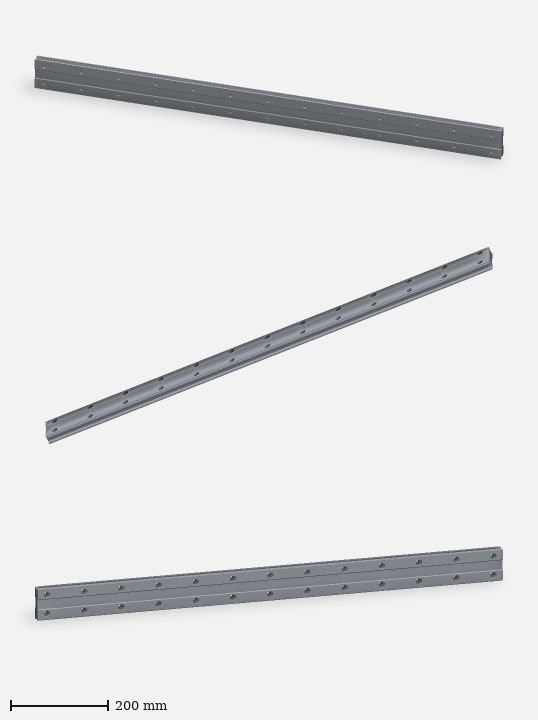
import cadquery as cq
import math

length = 1000.0
thickness = 19.0
height = 69.0
front_face = -thickness / 2
back_face = thickness / 2
crest_height = height / 2

web_thickness = 16.0
web_height = 20.0
recess_depth = (thickness - web_thickness) / 2

groove_depth = 4.0
ledge_depth = 2.0
groove_floor = crest_height - groove_depth
ledge_level = crest_height - ledge_depth
lip_width = 3.5
lip_wall_angle = math.radians(60)
lip_fillet = 2.0
ledge_start = 2.5
ridge_centre = 6.0
ridge_top_width = 2.0
ridge_wall_angle = math.radians(68.5)

hole_diameter = 7.0
counterbore_diameter = 13.0
counterbore_depth = 7.0
hole_pitch = 80.0
holes_per_row = 13
hole_row_spacing = 40.0


def make_half_bar():
    """Extrude the upper half of the cross-section along X, centred lengthwise."""
    lip_edge = front_face + lip_width
    lip_foot = lip_edge + groove_depth / math.tan(lip_wall_angle)
    ramp_foot = ledge_start - (ledge_level - groove_floor)
    ridge_top = ridge_top_width / 2
    ridge_foot = ridge_top + ledge_depth / math.tan(ridge_wall_angle)
    web_edge = web_thickness / 2
    shoulder_start = web_height / 2
    shoulder_end = shoulder_start + recess_depth

    outline = [
        (-web_edge, 0),
        (-web_edge, shoulder_start),
        (front_face, shoulder_end),
        (front_face, crest_height),
        (lip_edge, crest_height),
        (lip_foot, groove_floor),
        (ramp_foot, groove_floor),
        (ledge_start, ledge_level),
        (ridge_centre - ridge_foot, ledge_level),
        (ridge_centre - ridge_top, crest_height),
        (ridge_centre + ridge_top, crest_height),
        (ridge_centre + ridge_foot, ledge_level),
        (back_face, ledge_level),
        (back_face, shoulder_end),
        (web_edge, shoulder_start),
        (web_edge, 0),
    ]
    half = cq.Workplane("YZ").polyline(outline).close().extrude(length / 2, both=True)
    lip_corner = cq.selectors.NearestToPointSelector((0, lip_edge, crest_height))
    return half.edges(lip_corner).fillet(lip_fillet)


def cut_holes(body):
    """Drill a row of holes through each flange, counterbored from the back face."""
    centres = cq.Workplane("XZ", origin=(0, back_face, 0)).rarray(
        hole_pitch, hole_row_spacing, holes_per_row, 2
    )
    holes = centres.circle(hole_diameter / 2).extrude(thickness)
    counterbores = centres.circle(counterbore_diameter / 2).extrude(counterbore_depth)
    return body.cut(holes).cut(counterbores)


upper_half = make_half_bar()
bar = upper_half.union(upper_half.mirror("XY")).clean()
result = cut_holes(bar)